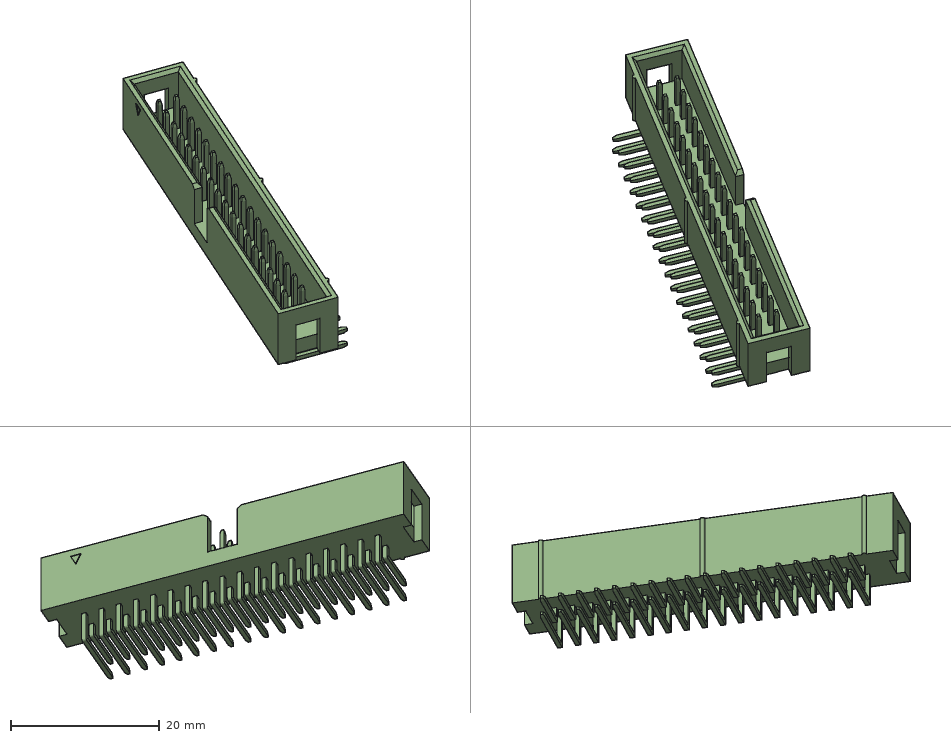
import cadquery as cq


length = 53.35
depth = 8.8
height = 9.0
wall = 1.2
floor_height = 2.45
lead_in = 0.5

slot_width = 4.3
flare_width = 0.65
flare_depth = 0.55

window_width = 3.5
window_height = 6.15

rib_radius = 0.3
rib_spacing = 22.7

mark_width = 1.5
mark_height = 1.5
mark_drop = 1.05
mark_depth = 0.1

columns = 18
row_length = 43.2
pin_size = 0.65
tip_size = 0.4
tip_length = 0.65
bend_radius = 0.3
pin_drop = 0.95
overall_depth = 12.3
overall_height = 13.6

pitch = row_length / (columns - 1)
mid_depth = depth / 2
pin_top = height - pin_drop
lower_leg_z = height - overall_height + pin_size / 2
upper_leg_z = lower_leg_z + pitch
first_column_x = -row_length / 2


def box(size_x, size_y, size_z, x, y, z):
    """Box centred on x and y, standing on z."""
    return cq.Workplane("XY").box(size_x, size_y, size_z, centered=(True, True, False)).translate((x, y, z))


def make_housing():
    shell = box(length, depth, height, 0, mid_depth, 0)
    cavity = box(length - 2 * wall, depth - 2 * wall, height - floor_height, 0, mid_depth, floor_height)
    return shell.cut(cavity)


def make_lead_in():
    """Tapered cavity mouth, widening towards the rim."""
    return (
        cq.Workplane("XY", origin=(0, mid_depth, height - lead_in))
        .rect(length - 2 * wall, depth - 2 * wall)
        .workplane(offset=lead_in)
        .rect(length - 2 * (wall - lead_in), depth - 2 * (wall - lead_in))
        .loft(ruled=True)
    )


def make_key_slot():
    """Slot through the front wall, flared at the rim."""
    half = slot_width / 2
    flared_half = half + flare_width
    return (
        cq.Workplane("XZ")
        .polyline([
            (-half, floor_height),
            (half, floor_height),
            (half, height - flare_depth),
            (flared_half, height),
            (-flared_half, height),
            (-half, height - flare_depth),
        ])
        .close()
        .extrude(-wall)
    )


def make_end_windows():
    """Openings through the full thickness of both end walls, down to the underside."""
    windows = cq.Workplane("XY")
    for side in (-1, 1):
        x = side * (length - wall) / 2
        windows = windows.add(box(wall, window_width, window_height, x, mid_depth, 0))
    return windows.combine()


def make_pin_one_mark():
    top = height - mark_drop
    return (
        cq.Workplane("XZ")
        .polyline([
            (first_column_x - mark_width / 2, top),
            (first_column_x + mark_width / 2, top),
            (first_column_x, top - mark_height),
        ])
        .close()
        .extrude(-mark_depth)
    )


def make_ribs():
    return (
        cq.Workplane("XY")
        .pushPoints([(i * rib_spacing, depth) for i in (-1, 0, 1)])
        .circle(rib_radius)
        .extrude(height)
    )


def make_tip(plane):
    """Tapered pin end growing along the plane normal."""
    return (
        cq.Workplane(plane)
        .rect(pin_size, pin_size)
        .workplane(offset=tip_length)
        .rect(tip_size, tip_size)
        .loft(ruled=True)
    )


def make_pin(y, leg_z):
    """Right-angle pin at X = 0: upright post at y, leg running to +Y at leg_z."""
    half = pin_size / 2
    post_end = pin_top - tip_length
    leg_end = overall_depth - tip_length
    bent_bar = (
        cq.Workplane("YZ", origin=(-half, 0, 0))
        .polyline([
            (y - half, post_end),
            (y - half, leg_z - half),
            (leg_end, leg_z - half),
            (leg_end, leg_z + half),
            (y + half, leg_z + half),
            (y + half, post_end),
        ])
        .close()
        .extrude(pin_size)
        .edges("|X and <Y and <Z")
        .fillet(bend_radius)
    )
    post_tip = make_tip(cq.Plane(origin=(0, y, post_end), xDir=(1, 0, 0), normal=(0, 0, 1)))
    leg_tip = make_tip(cq.Plane(origin=(0, leg_end, leg_z), xDir=(1, 0, 0), normal=(0, 1, 0)))
    return bent_bar.union(post_tip).union(leg_tip)


housing = make_housing().cut(make_lead_in()).cut(make_key_slot())
housing = housing.cut(make_end_windows()).cut(make_pin_one_mark()).union(make_ribs())

front_pin = make_pin(mid_depth - pitch / 2, lower_leg_z)
back_pin = make_pin(mid_depth + pitch / 2, upper_leg_z)
pins = []
for column in range(columns):
    x = first_column_x + column * pitch
    for pin in (front_pin, back_pin):
        pins.append(pin.translate((x, 0, 0)).val())

result = cq.Workplane("XY").newObject([housing.val().fuse(*pins)])